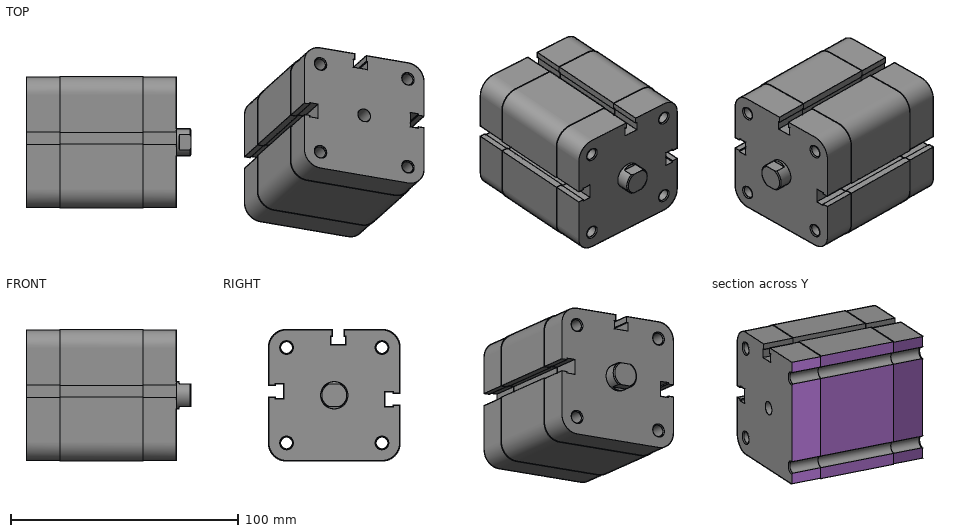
import cadquery as cq
import math

total_length = 72.5
rod_projection = 6.5
cap_length = 14.75
barrel_length = total_length - rod_projection - 2 * cap_length
front_cap_start = cap_length + barrel_length
front_face = front_cap_start + cap_length

barrel_width = 58.0
bolt_spacing = 42.0
corner_radius = (barrel_width - bolt_spacing) / 2
cap_inset = 0.25

slot_offset = 1.75
slot_mouth_width = 5.2
slot_inner_width = 6.5
slot_depth = 6.6
slot_lip = 3.2
slot_wall_setback = 0.15
slot_turns = (0, 90, -90)

bolt_hole_diameter = 5.2
countersink_width = 0.4
countersink_depth = 0.6
centre_hole_diameter = 6.0

rod_diameter = 12.0
rod_chamfer = 0.5
flat_spacing = 10.0
flat_setback = 1.35
flat_shoulder_angle = 15.0


def section(start, length, inset, wall_setback):
    """Rounded square with three T slots, its skin set inward by inset."""
    half_width = barrel_width / 2 - inset
    block = (
        cq.Workplane("YZ", origin=(start, 0, 0))
        .rect(2 * half_width, 2 * half_width)
        .extrude(length)
        .edges("|X")
        .fillet(corner_radius - inset)
    )
    mouth_width = slot_mouth_width + 2 * wall_setback
    inner_width = slot_inner_width + 2 * wall_setback
    floor = barrel_width / 2 - slot_depth - inset
    lip_bottom = barrel_width / 2 - slot_lip + inset
    slot_sketch = cq.Workplane("YZ", origin=(start, slot_offset, 0))
    mouth = slot_sketch.center(0, (floor + half_width) / 2).rect(mouth_width, half_width - floor)
    slot = mouth.extrude(length)
    inner = slot_sketch.center(0, (floor + lip_bottom) / 2).rect(inner_width, lip_bottom - floor)
    slot = slot.union(inner.extrude(length))
    for turn in slot_turns:
        block = block.cut(slot.rotate((0, 0, 0), (1, 0, 0), turn))
    bolt_holes = (
        cq.Workplane("YZ", origin=(start, 0, 0))
        .rect(bolt_spacing, bolt_spacing, forConstruction=True)
        .vertices()
        .circle(bolt_hole_diameter / 2)
        .extrude(length)
    )
    return block.cut(bolt_holes)


def cap(start, outer_x, inward, centre_hole):
    """End cap with countersunk bolt holes on its outer face and a through hole in the middle."""
    body = section(start, cap_length, cap_inset, slot_wall_setback)
    axis = cq.Vector(inward, 0, 0)
    for y in (-bolt_spacing / 2, bolt_spacing / 2):
        for z in (-bolt_spacing / 2, bolt_spacing / 2):
            countersink = cq.Solid.makeCone(
                bolt_hole_diameter / 2 + countersink_width,
                bolt_hole_diameter / 2,
                countersink_depth,
                cq.Vector(outer_x, y, z),
                axis,
            )
            body = body.cut(cq.Workplane(countersink))
    bore = cq.Workplane("YZ", origin=(start, 0, 0)).circle(centre_hole / 2).extrude(cap_length)
    return body.cut(bore)


def piston_rod():
    """Rod filling the front cap bore, with wrench flats on its +Z and -Z sides."""
    rod = (
        cq.Workplane("YZ", origin=(front_cap_start, 0, 0))
        .circle(rod_diameter / 2)
        .extrude(total_length - front_cap_start)
        .faces(">X")
        .chamfer(rod_chamfer)
    )
    flat_start = front_face + flat_setback
    flat_height = flat_spacing / 2
    rod_top = rod_diameter / 2
    shoulder_lean = (rod_top - flat_height) * math.tan(math.radians(flat_shoulder_angle))
    flat_cut = (
        cq.Workplane("XZ")
        .moveTo(flat_start, flat_height)
        .lineTo(total_length, flat_height)
        .lineTo(total_length, rod_top)
        .lineTo(flat_start - shoulder_lean, rod_top)
        .close()
        .extrude(rod_diameter / 2, both=True)
    )
    return rod.cut(flat_cut).cut(flat_cut.mirror("XY"))


rear_cap = cap(0, 0, 1, centre_hole_diameter)
barrel = section(cap_length, barrel_length, 0, 0)
front_cap = cap(front_cap_start, front_face, -1, rod_diameter)
rod = piston_rod()

result = cq.Compound.makeCompound([rear_cap.val(), barrel.val(), front_cap.val(), rod.val()])